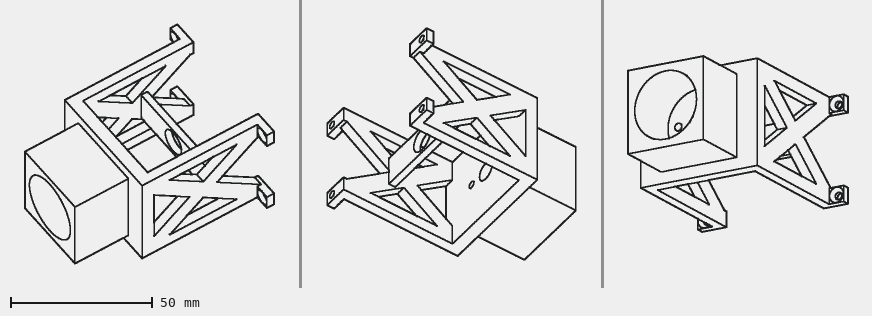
import cadquery as cq
import math

TOTAL_LENGTH = 75.5
HEIGHT = 40.0
INNER_WIDTH = 40.0
WALL = 4.0
OUTER_WIDTH = INNER_WIDTH + 2 * WALL
PLATE_THICKNESS = 5.1

HOUSING_SIZE = 31.1
HOUSING_LENGTH = 22.95
BORE_DIAMETER = 25.45
SHAFT_HOLE_DIAMETER = 7.5
SCREW_HOLE_DIAMETER = 2.8
SCREW_SPACING = 17.0

TOTAL_WIDTH = 60.0
TAB_SIZE = (TOTAL_WIDTH - OUTER_WIDTH) / 2
TAB_THICKNESS = 3.1
TAB_HOLE_DIAMETER = 2.7
COUNTERSINK_DIAMETER = 5.75
COUNTERSINK_ANGLE = 90.0

BRACE_WIDTH = 7.0
BRACE_ANGLE = math.radians(36.5)
RAIL_HEIGHT = 5.0

CROSS_THICKNESS = 2.8
CROSS_HEIGHT = 12.5
CROSS_HOLE_DIAMETER = 10.0
CROSS_BACK_OFFSET = 19.7

plate_front = HOUSING_LENGTH
plate_back = plate_front + PLATE_THICKNESS
cross_back = TOTAL_LENGTH - CROSS_BACK_OFFSET
brace_center = (plate_front + TOTAL_LENGTH) / 2


def block(width, y_start, y_end, height):
    """Box centred on X and Z between two Y stations."""
    return cq.Workplane("XY").box(width, y_end - y_start, height).translate((0, (y_start + y_end) / 2, 0))


def hole(diameter, y_start, y_end, x=0):
    """Cylinder along Y between two stations."""
    sketch = cq.Workplane("XZ", origin=(x, y_start, 0)).circle(diameter / 2)
    return sketch.extrude(y_start - y_end)


def through_walls(points):
    """Prism through both side walls from an outline of (Y, Z) points."""
    return cq.Workplane("YZ").polyline(points).close().extrude(OUTER_WIDTH, both=True)


def make_frame():
    frame = block(OUTER_WIDTH, plate_front, TOTAL_LENGTH, HEIGHT)
    return frame.cut(block(INNER_WIDTH, plate_back, TOTAL_LENGTH, HEIGHT))


def cut_windows(frame):
    """Leave an X of two braces in each side wall."""
    slope = math.tan(BRACE_ANGLE)
    tip_y = BRACE_WIDTH / 2 / math.sin(BRACE_ANGLE)
    tip_z = BRACE_WIDTH / 2 / math.cos(BRACE_ANGLE)

    rail_z = HEIGHT / 2 - RAIL_HEIGHT
    half_base = (rail_z - tip_z) / slope
    for side in (-1, 1):
        frame = frame.cut(through_walls([
            (brace_center, side * tip_z),
            (brace_center - half_base, side * rail_z),
            (brace_center + half_base, side * rail_z),
        ]))

    front_tip = brace_center - tip_y
    front_half_height = (front_tip - plate_back) * slope
    frame = frame.cut(through_walls([
        (front_tip, 0),
        (plate_back, front_half_height),
        (plate_back, -front_half_height),
    ]))

    notch_tip = brace_center + tip_y
    notch_z = HEIGHT / 2 - TAB_SIZE
    notch_y = notch_tip + notch_z / slope
    return frame.cut(through_walls([
        (notch_tip, 0),
        (notch_y, notch_z),
        (TOTAL_LENGTH, notch_z),
        (TOTAL_LENGTH, -notch_z),
        (notch_y, -notch_z),
    ]))


def make_tabs():
    """Four countersunk tabs, pointing outwards at the back corners."""
    spacing_x = TOTAL_WIDTH - TAB_SIZE
    spacing_z = HEIGHT - TAB_SIZE
    front_face = cq.Workplane("XZ", origin=(0, TOTAL_LENGTH - TAB_THICKNESS, 0))
    tabs = front_face.rarray(spacing_x, spacing_z, 2, 2).rect(TAB_SIZE, TAB_SIZE).extrude(-TAB_THICKNESS)
    return (
        tabs.copyWorkplane(front_face)
        .rarray(spacing_x, spacing_z, 2, 2)
        .cskHole(TAB_HOLE_DIAMETER, COUNTERSINK_DIAMETER, COUNTERSINK_ANGLE)
    )


def cut_axial_holes(body):
    body = body.cut(hole(BORE_DIAMETER, 0, plate_front))
    body = body.cut(hole(SHAFT_HOLE_DIAMETER, plate_front, plate_back))
    body = body.cut(hole(CROSS_HOLE_DIAMETER, cross_back - CROSS_THICKNESS, cross_back))
    for side in (-1, 1):
        body = body.cut(hole(SCREW_HOLE_DIAMETER, plate_front, plate_back, side * SCREW_SPACING / 2))
    return body


housing = block(HOUSING_SIZE, 0, plate_front, HOUSING_SIZE)
cross_plate = block(INNER_WIDTH, cross_back - CROSS_THICKNESS, cross_back, CROSS_HEIGHT)

body = cut_windows(make_frame()).union(housing).union(cross_plate).union(make_tabs())
result = cut_axial_holes(body)